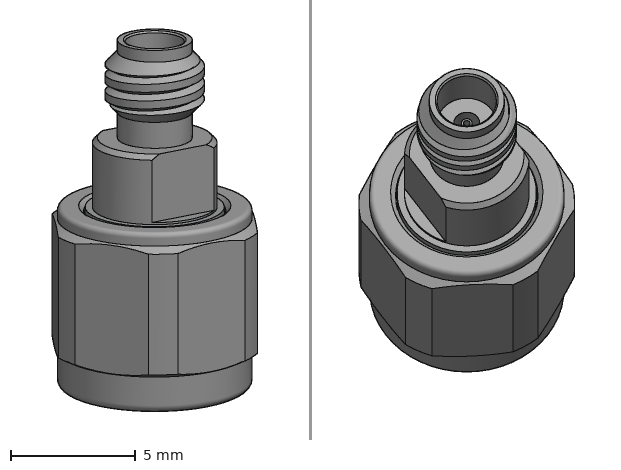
import cadquery as cq

TOTAL_HEIGHT = 14.45
NUT_HEIGHT = 7.51

NUT_ROUND_RADIUS = 3.9
NUT_ACROSS_FLATS = 8.0
NUT_ACROSS_CORNERS = 8.64
HEX_BOTTOM = 1.52
HEX_TOP = 7.0
HEX_BEVEL_HEIGHT = 0.22
NUT_TOP_FILLET = 0.2
NUT_BOTTOM_FILLET = 0.3
NUT_BORE_RADIUS = 2.85
NUT_BORE_CHAMFER = 0.2

SHANK_TOP = 7.47
SHANK_CLEARANCE = 0.06
SHANK_CLEARANCE_DEPTH = 0.43
COLLAR_RADIUS = 2.5
COLLAR_TOP = 10.36
COLLAR_CHAMFER = 0.2
FLAT_WIDTH = 3.99
FLAT_BOTTOM = 7.56
NECK_RADIUS = 1.5

THREAD_RADIUS = 2.0
THREAD_PITCH = 0.7
THREAD_BOTTOM = 11.45
THREAD_TOP = 13.96
THREAD_BEVEL_HEIGHT = 0.52
GROOVE_DEPTH = 0.32
GROOVE_WIDTH = 0.36
GROOVE_OVERCUT = 0.07
GROOVE_START_ANGLE = 180.0
GROOVE_START = 11.01
GROOVE_TURNS = 4.5

SOCKET_RADIUS = 1.18
SOCKET_CHAMFER = 0.07
SOCKET_DEPTH = 1.73
AIR_GAP_RADIUS = 0.52
AIR_GAP_DEPTH = 0.87
CONTACT_RADIUS = 0.22
CONTACT_HOLE_RADIUS = 0.13
CONTACT_HOLE_DEPTH = 0.58

SOCKET_FLOOR = TOTAL_HEIGHT - SOCKET_DEPTH
AIR_GAP_FLOOR = SOCKET_FLOOR - AIR_GAP_DEPTH


def cylinder(radius, bottom, top):
    """Upright cylinder on the Z axis."""
    return cq.Workplane("XY").workplane(offset=bottom).circle(radius).extrude(top - bottom)


def turned(points):
    """Solid of revolution about Z from an outline of (radius, height) points."""
    return cq.Workplane("XZ").polyline(points).close().revolve(360, (0, 0), (0, 1))


def make_nut():
    """Hexagon coupling nut with a round end above and below the hexagon."""
    corner_radius = NUT_ACROSS_CORNERS / 2
    hexagon = (
        cq.Workplane("XY")
        .workplane(offset=HEX_BOTTOM)
        .polygon(6, NUT_ACROSS_FLATS, circumscribed=True)
        .extrude(HEX_TOP - HEX_BOTTOM)
    )
    bevelled_envelope = turned(
        [
            (0, HEX_BOTTOM),
            (NUT_ROUND_RADIUS, HEX_BOTTOM),
            (corner_radius, HEX_BOTTOM + HEX_BEVEL_HEIGHT),
            (corner_radius, HEX_TOP - HEX_BEVEL_HEIGHT),
            (NUT_ROUND_RADIUS, HEX_TOP),
            (0, HEX_TOP),
        ]
    )
    round_ends = (
        cylinder(NUT_ROUND_RADIUS, 0, NUT_HEIGHT)
        .faces(">Z").edges().fillet(NUT_TOP_FILLET)
        .faces("<Z").edges().fillet(NUT_BOTTOM_FILLET)
    )
    bore = cylinder(NUT_BORE_RADIUS, 0, NUT_HEIGHT)
    nut = round_ends.union(hexagon.intersect(bevelled_envelope)).cut(bore)
    bore_rim = nut.faces(">Z").edges(cq.selectors.RadiusNthSelector(0))
    return bore_rim.chamfer(NUT_BORE_CHAMFER)


def make_thread_groove():
    """Right-hand V groove that runs out through the bevels at both ends of the thread."""
    outer_radius = THREAD_RADIUS + GROOVE_OVERCUT
    root_radius = THREAD_RADIUS - GROOVE_DEPTH
    half_width = GROOVE_WIDTH / 2 * (outer_radius - root_radius) / GROOVE_DEPTH
    helix = cq.Wire.makeHelix(THREAD_PITCH, THREAD_PITCH * GROOVE_TURNS, root_radius)
    groove = (
        cq.Workplane("XZ")
        .polyline([(root_radius, 0), (outer_radius, -half_width), (outer_radius, half_width)])
        .close()
        .sweep(cq.Workplane(helix), isFrenet=True)
    )
    return groove.rotate((0, 0, 0), (0, 0, 1), GROOVE_START_ANGLE).translate((0, 0, GROOVE_START))


def make_thread():
    """Grooved thread, bevelled down to the neck radius at both ends."""
    blank = cylinder(THREAD_RADIUS, THREAD_BOTTOM - 2 * THREAD_PITCH, THREAD_TOP + 2 * THREAD_PITCH)
    bevelled_envelope = turned(
        [
            (0, THREAD_BOTTOM),
            (NECK_RADIUS, THREAD_BOTTOM),
            (THREAD_RADIUS, THREAD_BOTTOM + THREAD_BEVEL_HEIGHT),
            (THREAD_RADIUS, THREAD_TOP - THREAD_BEVEL_HEIGHT),
            (NECK_RADIUS, THREAD_TOP),
            (0, THREAD_TOP),
        ]
    )
    return blank.cut(make_thread_groove()).intersect(bevelled_envelope)


def make_collar():
    """Chamfered round collar with two wrench flats facing -X and +X."""
    collar = cylinder(COLLAR_RADIUS, SHANK_TOP, COLLAR_TOP).faces(">Z").edges().chamfer(COLLAR_CHAMFER)
    between_flats = (
        cq.Workplane("XY")
        .workplane(offset=FLAT_BOTTOM)
        .rect(FLAT_WIDTH, 2 * COLLAR_RADIUS)
        .extrude(COLLAR_TOP - FLAT_BOTTOM)
    )
    return collar.intersect(between_flats.union(cylinder(COLLAR_RADIUS, SHANK_TOP, FLAT_BOTTOM)))


def make_shank():
    """Shank that fits the nut bore, with its top end turned down to leave a narrow ring-shaped gap."""
    shoulder = SHANK_TOP - SHANK_CLEARANCE_DEPTH
    reduced_end = cylinder(NUT_BORE_RADIUS - SHANK_CLEARANCE, shoulder, SHANK_TOP)
    return cylinder(NUT_BORE_RADIUS, 0, shoulder).union(reduced_end)


def make_body():
    """Adapter body: shank inside the nut, collar, neck and threaded socket."""
    socket = cylinder(SOCKET_RADIUS, SOCKET_FLOOR, TOTAL_HEIGHT)
    body = (
        make_shank()
        .union(make_collar())
        .union(cylinder(NECK_RADIUS, COLLAR_TOP, TOTAL_HEIGHT))
        .union(make_thread())
        .cut(socket)
        .cut(cylinder(AIR_GAP_RADIUS, AIR_GAP_FLOOR, SOCKET_FLOOR))
    )
    socket_rim = body.faces(">Z").edges(cq.selectors.RadiusNthSelector(0))
    return socket_rim.chamfer(SOCKET_CHAMFER)


def make_contact():
    """Center contact: a hollow-tipped pin standing in the air gap, flush with the socket floor."""
    pin = cylinder(CONTACT_RADIUS, AIR_GAP_FLOOR, SOCKET_FLOOR)
    return pin.cut(cylinder(CONTACT_HOLE_RADIUS, SOCKET_FLOOR - CONTACT_HOLE_DEPTH, SOCKET_FLOOR))


nut = make_nut().solids()
body = make_body().solids()
contact = make_contact().solids()
result = cq.Compound.makeCompound([nut.val(), body.val(), contact.val()])